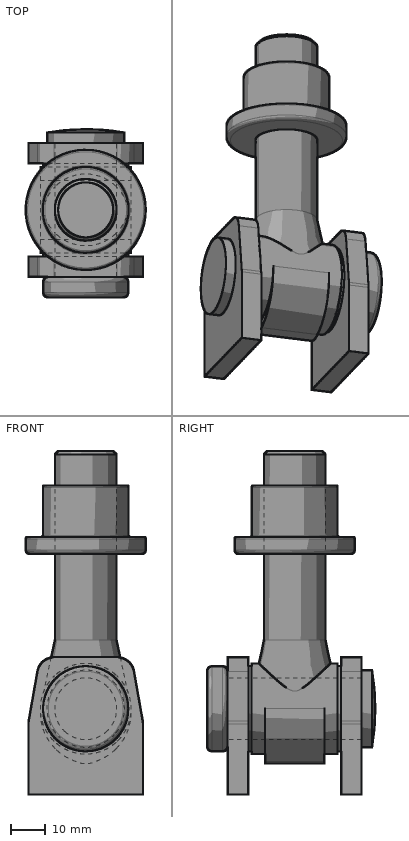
import cadquery as cq
import math

pin_height = 25.0
pin_radius = 9.0

shank_radius = 9.0
bolt_top = 100.0
bolt_chamfer = 1.0
eye_radius = 13.2
eye_length = 25.0
neck_top = 45.0
neck_base = 29.0
neck_half_angle = 12.0
pad_length = 17.2
pad_bottom = 9.0
pad_flank_x = 9.0
pad_flank_z = 13.5
pad_toe_x = 2.7
pad_toe_z = 9.6

flange_radius = 17.5
flange_bottom = 70.0
flange_thickness = 5.0
sleeve_radius = 12.5
sleeve_length = 15.0
collar_top_fillet = 0.6
flange_bottom_fillet = 1.2
collar_root_fillet = 0.4

washer_thickness = 1.0
plate_thickness = 6.0
plate_width = 33.4
plate_height = 40.0
plate_taper_start = 21.0
plate_taper_angle = 10.0
plate_corner_radius = 5.0
plate_bend_radius = 5.0

washer_radius = 12.5
head_radius = 12.4
head_thickness = 6.0
head_fillet = 1.5
cap_radius = 22.5 / 2
cap_rim_length = 3.0
cap_dome_height = 1.0

selection_margin = 0.1

eye_face = eye_length / 2
plate_inner_face = eye_face + washer_thickness
plate_outer_face = plate_inner_face + plate_thickness


def cylinder_along_y(radius, y_start, length):
    """Cylinder about the pin axis, running from y_start toward +Y."""
    plane = cq.Plane(origin=(0, y_start, pin_height), xDir=(1, 0, 0), normal=(0, 1, 0))
    return cq.Workplane(plane).circle(radius).extrude(length)


def make_eye_bolt():
    """Shank with a conical neck, ending in a padded cross eye."""
    neck_base_radius = shank_radius + (neck_top - neck_base) * math.tan(math.radians(neck_half_angle))
    shank = (
        cq.Workplane("XZ")
        .moveTo(0, neck_base)
        .lineTo(neck_base_radius, neck_base)
        .lineTo(shank_radius, neck_top)
        .lineTo(shank_radius, bolt_top - bolt_chamfer)
        .lineTo(shank_radius - bolt_chamfer, bolt_top)
        .lineTo(0, bolt_top)
        .close()
        .revolve(360, (0, 0, 0), (0, 1, 0))
    )
    eye = cylinder_along_y(eye_radius, -eye_face, eye_length)
    pad = (
        cq.Workplane("XZ")
        .moveTo(-eye_radius, pin_height)
        .threePointArc((-pad_flank_x, pad_flank_z), (-pad_toe_x, pad_toe_z))
        .threePointArc((0, pad_bottom), (pad_toe_x, pad_toe_z))
        .threePointArc((pad_flank_x, pad_flank_z), (eye_radius, pin_height))
        .close()
        .extrude(pad_length / 2, both=True)
    )
    bore = cylinder_along_y(pin_radius, -eye_face, eye_length)
    return shank.union(eye).union(pad).cut(bore)


def make_collar():
    """Sleeve with a bottom flange, turned as one ring around the shank."""
    collar = (
        cq.Workplane("XY", origin=(0, 0, flange_bottom))
        .circle(flange_radius)
        .extrude(flange_thickness)
        .faces("<Z")
        .edges()
        .fillet(flange_bottom_fillet)
        .faces(">Z")
        .edges()
        .fillet(collar_top_fillet)
    )
    sleeve_bottom = flange_bottom + flange_thickness
    sleeve = (
        cq.Workplane("XY", origin=(0, 0, sleeve_bottom))
        .circle(sleeve_radius)
        .extrude(sleeve_length)
        .faces(">Z")
        .edges()
        .fillet(collar_top_fillet)
    )
    root_reach = sleeve_radius + selection_margin
    root = cq.selectors.BoxSelector(
        (-root_reach, -root_reach, sleeve_bottom - selection_margin),
        (root_reach, root_reach, sleeve_bottom + selection_margin),
        boundingbox=True,
    )
    collar = collar.union(sleeve).edges(root).fillet(collar_root_fillet)
    bore = (
        cq.Workplane("XY", origin=(0, 0, flange_bottom))
        .circle(shank_radius)
        .extrude(flange_thickness + sleeve_length)
    )
    return collar.cut(bore)


def make_plate(y_start):
    """Tapered cheek plate with a round-cornered top, running from y_start toward +Y."""
    half_width = plate_width / 2
    taper_run = (plate_height - plate_taper_start) * math.tan(math.radians(plate_taper_angle))
    top_half_width = half_width - taper_run
    plate = (
        cq.Workplane("XZ", origin=(0, y_start, 0))
        .moveTo(-half_width, 0)
        .lineTo(half_width, 0)
        .lineTo(half_width, plate_taper_start)
        .lineTo(top_half_width, plate_height)
        .lineTo(-top_half_width, plate_height)
        .lineTo(-half_width, plate_taper_start)
        .close()
        .extrude(-plate_thickness)
    )
    plate = plate.edges("|Y and >Z").fillet(plate_corner_radius)
    bends = cq.selectors.BoxSelector(
        (-half_width - selection_margin, y_start, plate_taper_start - selection_margin),
        (half_width + selection_margin, y_start + plate_thickness, plate_taper_start + selection_margin),
    )
    plate = plate.edges("|Y").edges(bends).fillet(plate_bend_radius)
    return plate.cut(cylinder_along_y(pin_radius, y_start, plate_thickness))


def make_washer(y_start):
    """Flat ring between the eye and a cheek plate."""
    ring = cylinder_along_y(washer_radius, y_start, washer_thickness)
    return ring.cut(cylinder_along_y(pin_radius, y_start, washer_thickness))


def make_pin():
    """Round-edged head outside the -Y plate and a shaft ending flush with the +Y plate."""
    head = cylinder_along_y(head_radius, -plate_outer_face - head_thickness, head_thickness)
    head = head.edges().fillet(head_fillet)
    return head.union(cylinder_along_y(pin_radius, -plate_outer_face, 2 * plate_outer_face))


def make_cap():
    """Domed disc that closes the +Y end of the pin."""
    rim_end = plate_outer_face + cap_rim_length
    dome_end = rim_end + cap_dome_height
    dome_radius = (cap_radius**2 + cap_dome_height**2) / (2 * cap_dome_height)
    halfway_angle = math.asin(cap_radius / dome_radius) / 2
    dome_middle = (
        dome_radius * math.sin(halfway_angle),
        dome_end - dome_radius * (1 - math.cos(halfway_angle)),
    )
    return (
        cq.Workplane("XY", origin=(0, 0, pin_height))
        .moveTo(0, plate_outer_face)
        .lineTo(cap_radius, plate_outer_face)
        .lineTo(cap_radius, rim_end)
        .threePointArc(dome_middle, (0, dome_end))
        .close()
        .revolve(360, (0, 0, 0), (0, 1, 0))
    )


eye_bolt = make_eye_bolt()
collar = make_collar()
plates = [make_plate(y_start) for y_start in (-plate_outer_face, plate_inner_face)]
washers = [make_washer(y_start) for y_start in (-plate_inner_face, eye_face)]
pin = make_pin()
cap = make_cap()

bodies = [eye_bolt, collar, *plates, *washers, pin, cap]
result = cq.Compound.makeCompound([body.val() for body in bodies])